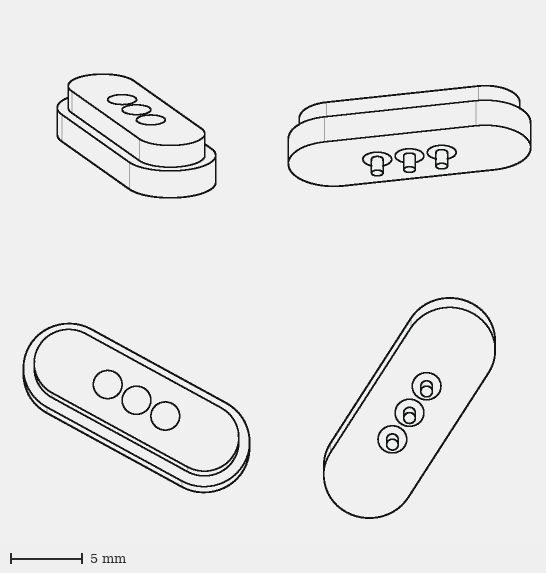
import cadquery as cq

base_length = 17.1
base_width = 6.35
base_height = 2.0
boss_length = 15.6
boss_width = 4.8
boss_height = 1.6
housing_height = base_height + boss_height

pin_count = 3
pin_pitch = 2.29
head_diameter = 2.0
tail_diameter = 0.8
tail_length = 1.1

pin_positions = [((i - (pin_count - 1) / 2) * pin_pitch, 0) for i in range(pin_count)]


def make_housing():
    """Stepped housing with one through hole for each pin head."""
    base = cq.Workplane("XY").slot2D(base_length, base_width).extrude(base_height)
    boss = (
        cq.Workplane("XY")
        .workplane(offset=base_height)
        .slot2D(boss_length, boss_width)
        .extrude(boss_height)
    )
    head_holes = (
        cq.Workplane("XY")
        .pushPoints(pin_positions)
        .circle(head_diameter / 2)
        .extrude(housing_height)
    )
    return base.union(boss).cut(head_holes)


def make_pin(x, y):
    """Contact pin with its head flush with both housing faces."""
    head = cq.Workplane("XY").center(x, y).circle(head_diameter / 2).extrude(housing_height)
    tail = cq.Workplane("XY").center(x, y).circle(tail_diameter / 2).extrude(-tail_length)
    return head.union(tail)


housing = make_housing()
pins = [make_pin(x, y) for x, y in pin_positions]

result = cq.Compound.makeCompound([housing.solids().val(), *[pin.solids().val() for pin in pins]])